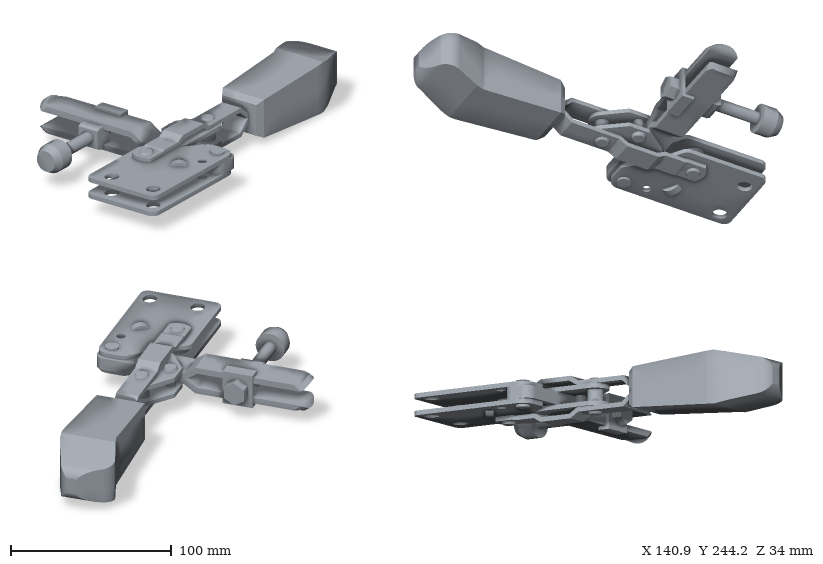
import cadquery as cq
import math


arm_sheet = 4.03
plate_sheet = 3.0
plate_outer_z = arm_sheet + plate_sheet
strap_outer_z = plate_outer_z + plate_sheet

handle_pivot = (0, 0)
link_handle_pivot = (0, 64.7)
link_stop_pin = (-12.2, 45.7)
arm_pivot = (31.7, 31.7)
link_arm_pivot = (0, arm_pivot[1])

pin_radius = 3.5
rivet_base_radius = 4.6
rivet_top_radius = 3.7
strap_rivet_height = 1.5
stop_rivet_height = 2.2
arm_rivet_radius = 4.5

base_left, base_right = -13.2, 39.8
base_bottom, base_top = -46.2, 39.8
base_corner_radius = 5.0
base_top_corner_radius = 7.8
base_left_corner = (base_left, 11.7)
base_peak = (20.3, base_top)
base_shoulder_radius = 5.9
link_clearance_radius = 9.8
base_spacer_radius = 7.3
slot_width, slot_length = 8.5, 9.8
slot_y = -36.5
small_hole_diameter, small_hole_y = 5.9, 15.6
bump_center = (24.0, 1.7)
bump_length, bump_width, bump_height = 11.5, 5.0, 3.0
bump_angle = 33

link_radius = 8.8
link_left = -18.3
link_left_low_y, link_left_high_y = 41.3, 55.5
link_spacer_radius = 5.0

arm_bottom, arm_top = 22.2, 42.0
arm_mid_y = (arm_bottom + arm_top) / 2
arm_leg_z = 9.0
arm_split_x = -19.8
arm_legs_x = -27.0
arm_hook_x = -96.0
arm_hook_tip = (-98.0, 11.5)
arm_tip_crown = 5.5
arm_bend_radius = 1.5
arm_corner_radius = 6.0

handle_width = 14.7
tang_half = plate_sheet
tang_top, grip_bottom = 105.7, 98.5
handle_bulge_z = 13.5
handle_lower_z = 10.5
handle_end_side_y, handle_end_y = -5.0, -7.8

spindle_x = -56.0
spindle_radius = 4.03
head_flats, head_top = 13.2, 50.8
hexagon_turn = 30
saddle_width, saddle_sheet = 19.8, 2.2
saddle_flange_end = 36.1
block_width, block_half_depth = 15.0, 7.0
block_top, block_bottom = 27.8, 15.5
block_bevel_rise, block_bevel_depth = 2.2, 1.0
foot_radius, foot_tip_radius = 9.5, 6.8
foot_top, foot_cone_top, foot_bottom = -14.5, -24.2, -29.3

grip_top = 198.0
grip_chamfer_top = 103.0
grip_half_depth = 17.0
seam_left_y, seam_right_y = 152.9, 107.5

cut_reach = 48.8


def tangent_point(point, center, radius, side):
    """Point where a line from an outside point touches a circle; side is +1 or -1."""
    dx, dy = point[0] - center[0], point[1] - center[1]
    angle = math.atan2(dy, dx) + side * math.acos(radius / math.hypot(dx, dy))
    return (center[0] + radius * math.cos(angle), center[1] + radius * math.sin(angle))


def inner_line(points, thickness):
    """Mitred copy of an open line of points, shifted to its left by a thickness."""
    angles = [math.atan2(q[1] - p[1], q[0] - p[0]) for p, q in zip(points, points[1:])]
    before = [angles[0]] + angles
    after = angles + [angles[-1]]
    shifted = []
    for (u, v), first, second in zip(points, before, after):
        normal = (first + second) / 2 + math.pi / 2
        reach = thickness / math.cos((second - first) / 2)
        shifted.append((u + reach * math.cos(normal), v + reach * math.sin(normal)))
    return shifted


def bent_sheet(plane, outer_points, thickness, half_width):
    """Bent strip given by the points of its outer face; its sheet lies to the left of them."""
    outline = outer_points + inner_line(outer_points, thickness)[::-1]
    return cq.Workplane(plane).polyline(outline).close().extrude(half_width, both=True)


def slab(outline, low_z, high_z):
    """Extrude a closed XY outline between two heights."""
    return outline.extrude(high_z - low_z).translate((0, 0, low_z))


def with_mirror(half):
    """Join an upper half with its mirror image below Z = 0."""
    return half.union(half.mirror("XY"))


def pin(place, radius, half_length):
    """Cylinder along Z, centred on the middle plane."""
    return cq.Workplane("XY").center(*place).circle(radius).extrude(half_length, both=True)


def riveted_pin(place, seat_z, height):
    """Pin with a tapered rivet head beyond each outer seat."""
    head = (
        cq.Workplane("XY").workplane(offset=seat_z).center(*place).circle(rivet_base_radius)
        .workplane(offset=height).circle(rivet_top_radius).loft()
    )
    return pin(place, pin_radius, seat_z).union(with_mirror(head))


def make_bump():
    """Raised cylindrical bump on the outer face of the upper base plate."""
    half_length = bump_length / 2
    bump = (
        cq.Workplane("XZ").moveTo(-half_length, 0)
        .threePointArc((0, bump_height), (half_length, 0)).close()
        .extrude(bump_width / 2, both=True)
    )
    return bump.rotate((0, 0, 0), (0, 0, 1), bump_angle).translate((*bump_center, plate_outer_z))


def make_base():
    """Two parallel plates joined by the handle pivot and the arm pivot."""
    notch_right = tangent_point(base_peak, link_arm_pivot, link_clearance_radius, -1)
    notch_left = tangent_point(base_left_corner, link_arm_pivot, link_clearance_radius, 1)
    outline = (
        cq.Workplane("XY").moveTo(base_left, base_bottom).lineTo(base_right, base_bottom)
        .lineTo(base_right, base_top).lineTo(*base_peak).lineTo(*notch_right)
        .radiusArc(notch_left, link_clearance_radius).lineTo(*base_left_corner).close()
    )
    plate = slab(outline, arm_sheet, plate_outer_z)
    plate = plate.edges("|Z").edges("<Y").fillet(base_corner_radius)
    corner_picks = (
        ((base_right, base_top), base_top_corner_radius),
        (base_left_corner, base_shoulder_radius),
        (base_peak, base_shoulder_radius),
    )
    for corner, radius in corner_picks:
        nearest = cq.selectors.NearestToPointSelector((*corner, arm_sheet + plate_sheet / 2))
        plate = plate.edges("|Z").edges(nearest).fillet(radius)
    slots = (
        cq.Workplane("XY").pushPoints([(handle_pivot[0], slot_y), (arm_pivot[0], slot_y)])
        .slot2D(slot_length, slot_width, 90).extrude(cut_reach)
    )
    small_hole = pin((arm_pivot[0], small_hole_y), small_hole_diameter / 2, cut_reach)
    plate = plate.cut(slots).cut(small_hole).union(make_bump())
    return (
        with_mirror(plate)
        .union(pin(handle_pivot, base_spacer_radius, arm_sheet))
        .union(riveted_pin(handle_pivot, strap_outer_z, strap_rivet_height))
        .union(pin(arm_pivot, pin_radius, plate_outer_z))
        .union(with_mirror(
            slab(
                cq.Workplane("XY").center(*arm_pivot).circle(arm_rivet_radius),
                plate_outer_z,
                plate_outer_z + strap_rivet_height,
            )
        ))
    )


def make_links():
    """Pair of link plates joined by the upper handle pin and the stop pin."""
    left_low = (link_left, link_left_low_y)
    left_high = (link_left, link_left_high_y)
    low_tangent = tangent_point(left_low, link_arm_pivot, link_radius, 1)
    high_tangent = tangent_point(left_high, link_handle_pivot, link_radius, -1)
    outline = (
        cq.Workplane("XY").moveTo(*left_high).lineTo(*left_low).lineTo(*low_tangent)
        .threePointArc((0, link_arm_pivot[1] - link_radius), (link_radius, link_arm_pivot[1]))
        .lineTo(link_radius, link_handle_pivot[1])
        .threePointArc((0, link_handle_pivot[1] + link_radius), high_tangent).close()
    )
    return (
        with_mirror(slab(outline, arm_sheet, plate_outer_z))
        .union(pin(link_handle_pivot, link_spacer_radius, arm_sheet))
        .union(riveted_pin(link_handle_pivot, strap_outer_z, strap_rivet_height))
        .union(riveted_pin(link_stop_pin, plate_outer_z, stop_rivet_height))
    )


def round_hook_bend(sheet, outer_bend, inner_bend):
    """Round both faces of the bend where a hooked tip leaves the leg."""
    for corner, radius in ((outer_bend, arm_bend_radius), (inner_bend, arm_bend_radius + arm_sheet)):
        place = (corner[0], 0, corner[1])
        sheet = sheet.edges("|Y").edges(cq.selectors.NearestToPointSelector(place)).fillet(radius)
    return sheet


def make_tip_cutter():
    """Waste beyond the rounded end of a hooked tip, square to the hook's sheet."""
    tip_x, tip_z = arm_hook_tip
    hook_rise = tip_z - arm_leg_z
    hook_plane = cq.Plane(
        origin=(tip_x, arm_mid_y, tip_z),
        xDir=(tip_x - arm_hook_x, 0, hook_rise),
        normal=(hook_rise, 0, arm_hook_x - tip_x),
    )
    half_width = (arm_top - arm_bottom) / 2
    return (
        cq.Workplane(hook_plane).moveTo(-arm_tip_crown, half_width)
        .threePointArc((0, 0), (-arm_tip_crown, -half_width))
        .lineTo(arm_sheet, -half_width).lineTo(arm_sheet, half_width).close()
        .extrude(2 * arm_sheet, both=True)
    )


def make_arm():
    """Forked arm: two bent sheets back to back in the stem, with hooked tips."""
    outer_face = [
        (base_right, arm_sheet),
        (arm_split_x, arm_sheet),
        (arm_legs_x, arm_leg_z),
        (arm_hook_x, arm_leg_z),
        arm_hook_tip,
    ]
    half_width = (arm_top - arm_bottom) / 2
    sheet = bent_sheet("XZ", outer_face, arm_sheet, half_width)
    sheet = round_hook_bend(sheet, outer_face[-2], inner_line(outer_face, arm_sheet)[-2])
    sheet = sheet.edges("|Z and >X").fillet(arm_corner_radius).translate((0, arm_mid_y, 0))
    return with_mirror(sheet.cut(make_tip_cutter())).cut(pin(arm_pivot, pin_radius, cut_reach))


def make_handle():
    """Two bent straps that meet in a flat tang inside the grip."""
    outer_face = [
        (handle_end_y, strap_outer_z),
        (7.3, strap_outer_z),
        (9.5, handle_lower_z),
        (23.5, handle_lower_z),
        (28.5, handle_bulge_z),
        (50.8, handle_bulge_z),
        (56.7, strap_outer_z),
        (90.4, strap_outer_z),
        (grip_bottom, tang_half),
        (tang_top, tang_half),
    ]
    half_width = handle_width / 2
    strap = bent_sheet("YZ", outer_face, -plate_sheet, half_width)
    plan = (
        cq.Workplane("XY").moveTo(-half_width, tang_top).lineTo(-half_width, handle_end_side_y)
        .threePointArc((0, handle_end_y), (half_width, handle_end_side_y))
        .lineTo(half_width, tang_top).close().extrude(cut_reach)
    )
    handle = with_mirror(strap.intersect(plan))
    for pivot in (handle_pivot, link_handle_pivot):
        handle = handle.cut(pin(pivot, pin_radius, cut_reach))
    return handle


def box_between(half_x, low_y, high_y, half_z):
    """Box centred on the spindle axis in X and Z."""
    return cq.Workplane("XY").box(2 * half_x, high_y - low_y, 2 * half_z).translate(
        (spindle_x, (low_y + high_y) / 2, 0)
    )


def make_saddle():
    """U-shaped washer over the top edges of the arm legs."""
    outer_z = arm_leg_z + saddle_sheet
    saddle = box_between(saddle_width / 2, saddle_flange_end, arm_top + saddle_sheet, outer_z)
    return saddle.cut(box_between(saddle_width / 2, saddle_flange_end, arm_top, arm_leg_z))


def make_block():
    """Stepped block whose tongue sits between the arm legs."""
    tongue = box_between(block_width / 2, arm_bottom, block_top, arm_leg_z - arm_sheet)
    bevel_top = block_bottom + block_bevel_rise
    bottom_half_depth = block_half_depth - block_bevel_depth
    right_side = [
        (arm_bottom, block_half_depth),
        (bevel_top, block_half_depth),
        (block_bottom, bottom_half_depth),
    ]
    left_side = [(y, -z) for y, z in reversed(right_side)]
    flange = (
        cq.Workplane("YZ").polyline(right_side + left_side).close()
        .extrude(block_width / 2, both=True).translate((spindle_x, 0, 0))
    )
    return tongue.union(flange)


def make_spindle():
    """Hexagon-headed spindle with its foot, saddle and block."""
    saddle_top = arm_top + saddle_sheet
    turned = (
        cq.Workplane("XY").moveTo(0, saddle_top).lineTo(spindle_radius, saddle_top)
        .lineTo(spindle_radius, foot_top).lineTo(foot_radius, foot_top)
        .lineTo(foot_radius, foot_cone_top).lineTo(foot_tip_radius, foot_bottom)
        .lineTo(0, foot_bottom).close().revolve(360, (0, 0), (0, 1)).translate((spindle_x, 0, 0))
    )
    head = (
        cq.Workplane("XZ").polygon(6, head_flats / math.cos(math.pi / 6))
        .extrude(saddle_top - head_top).rotate((0, 0, 0), (0, 1, 0), hexagon_turn)
        .translate((spindle_x, saddle_top, 0))
    )
    return turned.union(head).union(make_saddle()).union(make_block())


def make_whole_grip():
    """Grip shape shared by core and shell: the plan outline crossed with the side outline."""
    plan = (
        cq.Workplane("XY").moveTo(-13.2, grip_bottom).lineTo(13.0, grip_bottom)
        .lineTo(15.6, grip_chamfer_top).lineTo(17.3, 159.0)
        .threePointArc((16.4, 166.5), (14.5, 173.1)).lineTo(7.0, 190.5)
        .threePointArc((5.1, 194.9), (1.2, grip_top)).lineTo(-5.9, grip_top)
        .lineTo(-20.3, 191.0).threePointArc((-24.2, 186.8), (-24.7, 179.7))
        .lineTo(-17.3, 158.5).lineTo(-16.0, grip_chamfer_top).close().extrude(cut_reach, both=True)
    )
    side = (
        cq.Workplane("YZ").moveTo(grip_bottom, 0).lineTo(grip_bottom, 10.3)
        .lineTo(grip_chamfer_top, 13.0).lineTo(164.0, grip_half_depth).lineTo(190.5, 11.7)
        .threePointArc((195.8, 9.0), (grip_top, 5.4)).lineTo(grip_top, 0).close()
        .extrude(cut_reach, both=True)
    )
    return plan.intersect(with_mirror(side))


def make_grip_seam():
    """Prism on the core's side of the wavy seam through the grip."""
    return (
        cq.Workplane("XY").moveTo(-cut_reach, seam_left_y).lineTo(-15.1, seam_left_y)
        .threePointArc((-14.0, 153.5), (-13.0, 156.0)).lineTo(-5.9, 173.1)
        .threePointArc((-2.7, 175.3), (0.7, 173.6)).lineTo(5.9, 164.0)
        .threePointArc((7.3, 160.0), (7.0, 155.5)).lineTo(-2.7, 121.0)
        .lineTo(3.5, 109.2).threePointArc((4.5, 108.0), (5.9, seam_right_y))
        .lineTo(cut_reach, seam_right_y).lineTo(cut_reach, 0).lineTo(-cut_reach, 0).close()
        .extrude(cut_reach, both=True)
    )


base = make_base()
links = make_links()
arm = make_arm()
handle = make_handle()
spindle = make_spindle()

whole_grip = make_whole_grip()
grip_seam = make_grip_seam()
grip_core = whole_grip.intersect(grip_seam).cut(handle)
grip_shell = whole_grip.cut(grip_seam)

result = cq.Compound.makeCompound([
    base.val(),
    links.val(),
    arm.val(),
    handle.val(),
    spindle.val(),
    grip_core.val(),
    grip_shell.val(),
])